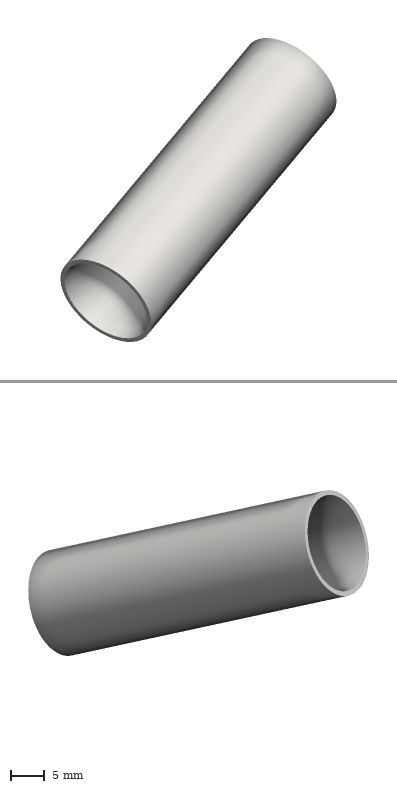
import cadquery as cq

length = 50.8
outer_diameter = 15.9
wall_thickness = 0.7

inner_diameter = outer_diameter - 2 * wall_thickness

result = (
    cq.Workplane("XZ")
    .workplane(offset=-length / 2)
    .circle(outer_diameter / 2)
    .circle(inner_diameter / 2)
    .extrude(length)
)